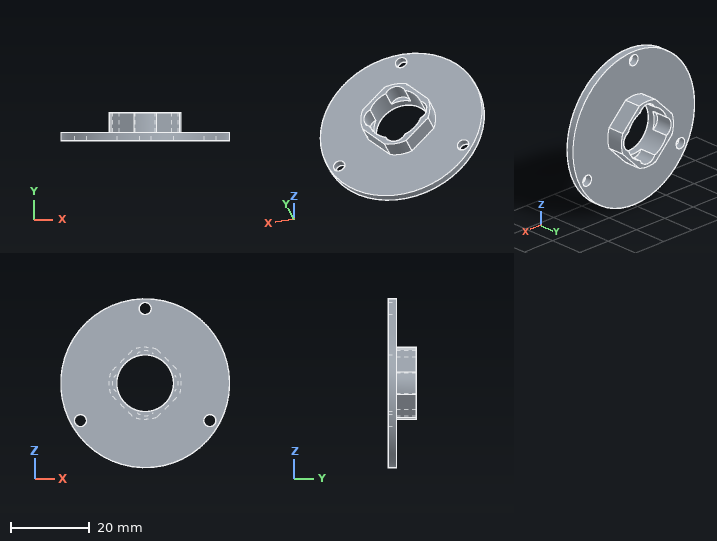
import cadquery as cq

plate_diameter = 43.0
plate_thickness = 2.2

screw_hole_count = 3
first_screw_angle = -90
screw_hole_diameter = 3.0
screw_circle_radius = 19.0

boss_height = 5.0
boss_across_flats = 16.4
boss_turn = 45
boss_corner_diameter = 18.35

bore_diameter = 14.35
lobe_count = 4
lobe_radius = 2.8
lobe_reach = 8.35
lobe_center_radius = lobe_reach - lobe_radius


def back_facing_plane(y):
    """Sketch plane at distance y along Y, with axes +X and -Z; extrusions run toward +Y."""
    return cq.Workplane("XZ", origin=(0, y, 0)).transformed(rotate=(180, 0, 0))


def make_plate():
    plate = back_facing_plane(0).circle(plate_diameter / 2).extrude(plate_thickness)
    screw_holes = (
        back_facing_plane(0)
        .polarArray(screw_circle_radius, first_screw_angle, 360, screw_hole_count)
        .circle(screw_hole_diameter / 2)
        .extrude(plate_thickness)
    )
    return plate.cut(screw_holes)


def make_boss():
    boss_plane = back_facing_plane(plate_thickness)
    corner_cylinder = boss_plane.circle(boss_corner_diameter / 2).extrude(boss_height)
    square = (
        boss_plane.transformed(rotate=(0, 0, boss_turn))
        .rect(boss_across_flats, boss_across_flats)
        .extrude(boss_height)
    )
    return square.intersect(corner_cylinder)


def make_bore():
    return back_facing_plane(0).circle(bore_diameter / 2).extrude(plate_thickness + boss_height)


def make_lobes():
    return (
        back_facing_plane(plate_thickness)
        .polarArray(lobe_center_radius, 0, 360, lobe_count)
        .circle(lobe_radius)
        .extrude(boss_height)
    )


result = make_plate().union(make_boss()).cut(make_bore()).cut(make_lobes())